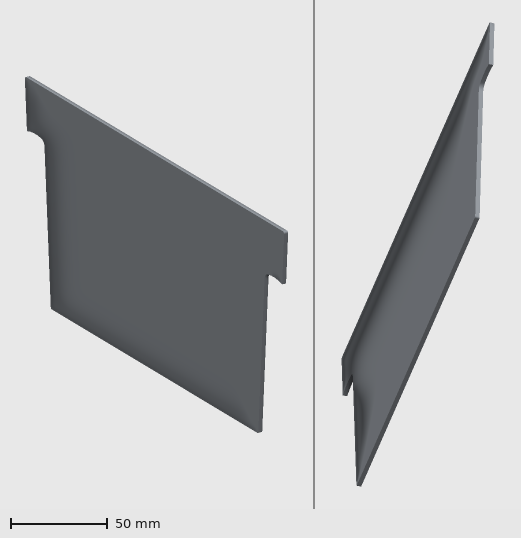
import cadquery as cq
import math

width = 253.0
thickness = 2.4
height = 121.0
bottom_width = 202.5
draft_angle = 4.0
tab_depth = 29.9
arch_rise = 1.3
arch_fillet = 3.8
top_corner_radius = 1.3
bottom_corner_radius = 1.0

draft = math.tan(math.radians(draft_angle))
tab_tip_z = height - tab_depth

draft_cosine = math.cos(math.radians(draft_angle))
top_half = width / 2 + top_corner_radius * (1 / draft_cosine - 1 + draft)
bottom_half = bottom_width / 2
tab_tip_half = top_half - draft * tab_depth
body_half = bottom_half + draft * tab_tip_z
arch_middle = (tab_tip_half + body_half) / 2


def plate():
    """Tapered plate with a hanging tab on each upper side, arched underneath."""
    return (
        cq.Workplane("XZ")
        .moveTo(-bottom_half, 0)
        .lineTo(bottom_half, 0)
        .lineTo(body_half, tab_tip_z)
        .threePointArc((arch_middle, tab_tip_z + arch_rise), (tab_tip_half, tab_tip_z))
        .lineTo(top_half, height)
        .lineTo(-top_half, height)
        .lineTo(-tab_tip_half, tab_tip_z)
        .threePointArc((-arch_middle, tab_tip_z + arch_rise), (-body_half, tab_tip_z))
        .close()
        .extrude(thickness / 2, both=True)
    )


def round_corners(body, half_width, z, radius):
    """Round the pair of through-thickness edges at (+-half_width, z)."""
    for x in (-half_width, half_width):
        corner = cq.selectors.NearestToPointSelector((x, 0, z))
        body = body.edges("|Y").edges(corner).fillet(radius)
    return body


result = plate()
result = round_corners(result, body_half, tab_tip_z, arch_fillet)
result = round_corners(result, top_half, height, top_corner_radius)
result = round_corners(result, bottom_half, 0, bottom_corner_radius)